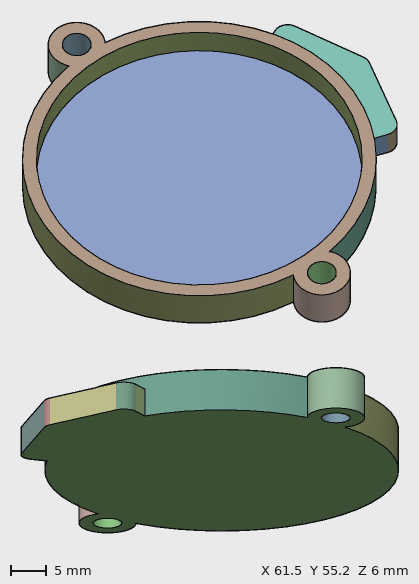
import cadquery as cq
import math

outer_radius = 24.7
wall = 1.95
floor_thickness = 1.95
height = 6.0
cavity_radius = outer_radius - wall

overall_length = 61.5
ear_radius = 4.0
ear_hole_diameter = 4.0
ear_offset = overall_length / 2 - ear_radius

lug_height = 4.0
lug_corner_radius = 1.95
lug_slope = math.radians(20)
lug_top_y = 30.5
lug_arm_length = 11.05
lug_flank_length = 4.9


def make_tray():
    return cq.Workplane("XY").circle(outer_radius).extrude(height)


def make_lug():
    """Roof-shaped block with rounded outer corners, its flanks square to the sloping edges."""
    apex_y = lug_top_y - lug_corner_radius + lug_corner_radius / math.cos(lug_slope)
    edge_length = lug_arm_length + lug_corner_radius * (1 + math.tan(lug_slope))
    corner_x = edge_length * math.cos(lug_slope)
    corner_y = apex_y - edge_length * math.sin(lug_slope)
    foot_x = corner_x - lug_flank_length * math.sin(lug_slope)
    foot_y = corner_y - lug_flank_length * math.cos(lug_slope)
    outline = [
        (0, apex_y),
        (corner_x, corner_y),
        (foot_x, foot_y),
        (-foot_x, foot_y),
        (-corner_x, corner_y),
    ]
    block = cq.Workplane("XY").polyline(outline).close().extrude(lug_height)
    outer_corners = block.edges("|Z and (>X or <X or >Y)")
    return outer_corners.fillet(lug_corner_radius)


ear_centers = [(-ear_offset, 0), (ear_offset, 0)]
ears = cq.Workplane("XY").pushPoints(ear_centers).circle(ear_radius).extrude(height)
ear_holes = cq.Workplane("XY").pushPoints(ear_centers).circle(ear_hole_diameter / 2).extrude(height)
cavity = (
    cq.Workplane("XY")
    .workplane(offset=floor_thickness)
    .circle(cavity_radius)
    .extrude(height - floor_thickness)
)

result = make_tray().union(ears).union(make_lug()).cut(cavity).cut(ear_holes)